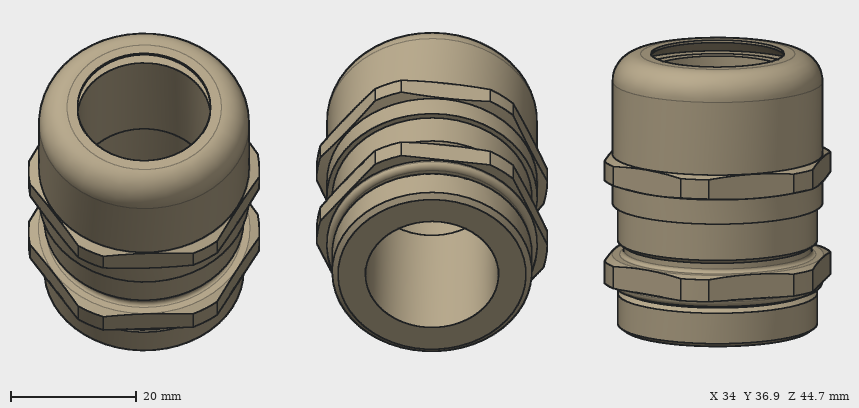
import cadquery as cq
import math


total_height = 44.7
across_flats = 34.0
across_corners = 36.9
corner_radius = across_corners / 2
hex_height = 4.02
chamfer_circle_radius = 16.9
hex_chamfer_height = 0.45
bore_radius = 10.65

thread_radius = 15.95
neck_radius = 15.02
thread_chamfer_height = 0.65
lower_thread_top = 5.65
body_hex_bottom = 8.0
body_hex_top = body_hex_bottom + hex_height
neck_fillet_radius = 0.65
upper_thread_bottom = 14.25
body_top = 32.2

ring_radius = 16.8
ring_height = 1.3
ring_fillet_radius = 1.0

cap_radius = 16.8
cap_bottom = 20.35
cap_hex_bottom = 24.3
dome_radius = 4.45
lip_thickness = 0.4

insert_bottom = cap_hex_bottom
insert_top = 42.1
cage_radius = 14.75
seal_radius = 12.5


def cylinder(radius, bottom, top):
    return cq.Workplane("XY").workplane(offset=bottom).circle(radius).extrude(top - bottom)


def tube(outer_radius, inner_radius, bottom, top):
    return cylinder(outer_radius, bottom, top).cut(cylinder(inner_radius, bottom, top))


def revolve_profile(profile):
    """Revolve a closed radius-height outline about the Z axis."""
    return profile.close().revolve(360, (0, 0, 0), (0, 1, 0))


def hexagon(bottom, chamfer_underside):
    """Hexagon pointing along Y, its corners turned down and its upper or both faces chamfered."""
    top = bottom + hex_height
    prism = (
        cq.Workplane("XY")
        .workplane(offset=bottom)
        .transformed(rotate=(0, 0, 90))
        .polygon(6, across_flats / math.cos(math.pi / 6))
        .extrude(hex_height)
    )
    envelope = cq.Workplane("XZ").moveTo(0, bottom)
    if chamfer_underside:
        envelope = envelope.lineTo(chamfer_circle_radius, bottom)
        envelope = envelope.lineTo(corner_radius, bottom + hex_chamfer_height)
    else:
        envelope = envelope.lineTo(corner_radius, bottom)
    envelope = (
        envelope.lineTo(corner_radius, top - hex_chamfer_height)
        .lineTo(chamfer_circle_radius, top)
        .lineTo(0, top)
    )
    return prism.intersect(revolve_profile(envelope))


def make_body():
    neck_fillet_top = body_hex_top + neck_fillet_radius
    fillet_reach = neck_fillet_radius * (1 - math.sqrt(0.5))
    turned_part = revolve_profile(
        cq.Workplane("XZ")
        .lineTo(neck_radius, 0)
        .lineTo(thread_radius, thread_chamfer_height)
        .lineTo(thread_radius, lower_thread_top)
        .lineTo(neck_radius, lower_thread_top + thread_chamfer_height)
        .lineTo(neck_radius, body_hex_bottom)
        .lineTo(neck_radius + neck_fillet_radius, body_hex_bottom)
        .lineTo(neck_radius + neck_fillet_radius, body_hex_top)
        .threePointArc(
            (neck_radius + fillet_reach, body_hex_top + fillet_reach),
            (neck_radius, neck_fillet_top),
        )
        .lineTo(neck_radius, upper_thread_bottom - thread_chamfer_height)
        .lineTo(thread_radius, upper_thread_bottom)
        .lineTo(thread_radius, body_top)
        .lineTo(0, body_top)
    )
    bore = cylinder(bore_radius, 0, body_top)
    insert_seat = cylinder(cage_radius, insert_bottom, body_top)
    hex_part = hexagon(body_hex_bottom, chamfer_underside=False)
    return turned_part.union(hex_part).cut(bore).cut(insert_seat)


def make_sealing_ring():
    ring_bottom = body_hex_bottom - ring_height
    ring = cylinder(ring_radius, ring_bottom, body_hex_bottom)
    ring = ring.faces("<Z").edges().fillet(ring_fillet_radius)
    return ring.cut(cylinder(neck_radius, ring_bottom, body_hex_bottom))


def make_cap_nut():
    shell = cylinder(cap_radius, cap_bottom, total_height).faces(">Z").edges().fillet(dome_radius)
    cavity = revolve_profile(
        cq.Workplane("XZ")
        .moveTo(0, cap_bottom)
        .lineTo(thread_radius, cap_bottom)
        .lineTo(thread_radius, body_top)
        .lineTo(cage_radius, body_top)
        .lineTo(cage_radius, insert_top)
        .lineTo(bore_radius, total_height - lip_thickness)
        .lineTo(bore_radius, total_height)
        .lineTo(0, total_height)
    )
    return shell.union(hexagon(cap_hex_bottom, chamfer_underside=True)).cut(cavity)


def make_clamping_cage():
    return tube(cage_radius, seal_radius, insert_bottom, insert_top)


def make_seal_insert():
    return tube(seal_radius, bore_radius, insert_bottom, insert_top)


body = make_body()
sealing_ring = make_sealing_ring()
cap_nut = make_cap_nut()
clamping_cage = make_clamping_cage()
seal_insert = make_seal_insert()

result = cq.Compound.makeCompound([
    body.val(),
    sealing_ring.val(),
    cap_nut.val(),
    clamping_cage.val(),
    seal_insert.val(),
])